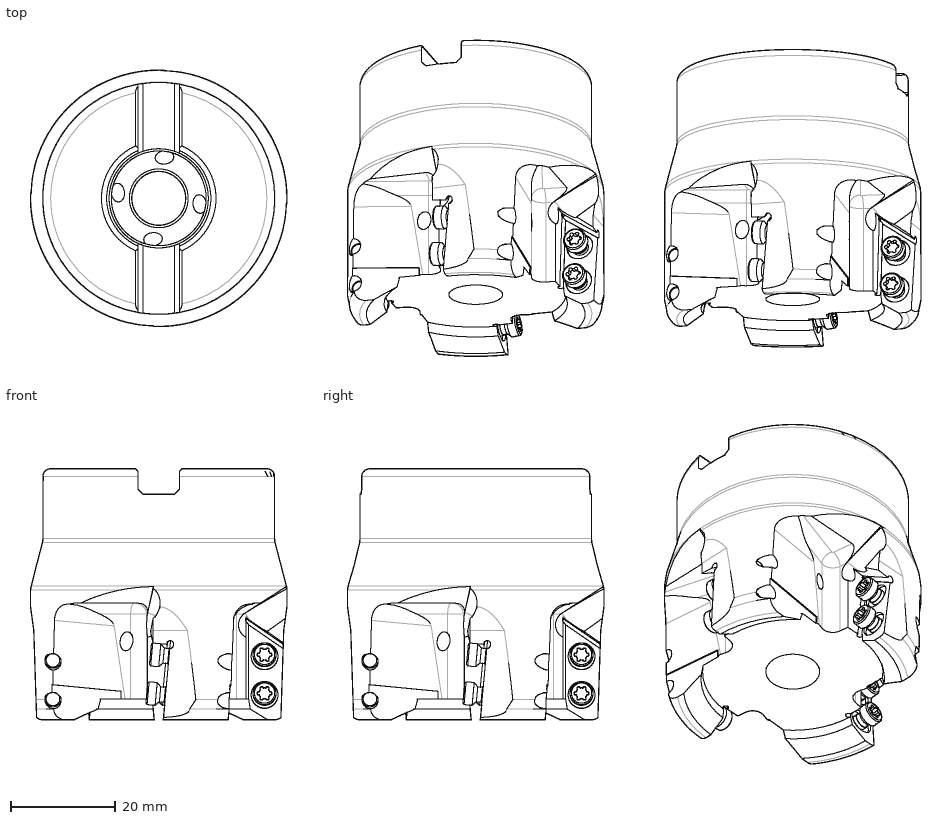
import cadquery as cq
import math

height = 48.23
hub_radius = 22.25
hub_fillet = 1.5
hub_bottom_z = 34.4
body_radius = 24.625
shoulder_z = 25.3
shoulder_blend = 3.0
rim_chamfer_z = 3.9
rim_radius = 24.25
rim_z = 2.1
foot_radius = 22.3
rim_bulge_radius = 23.75
rim_bulge_z = 0.75

core_bottom_z = 4.0
hollow_foot_radius = 21.0
hollow_mid_radius = 17.6
hollow_mid_z = 2.1
hollow_top_radius = 17.3

bore_radius = 9.525
bore_mouth_radius = 10.0
bore_mouth_depth = 3.5
bore_mouth_chamfer = 1.0
bore_step_depth = 11.0
bore_step_radius = 9.1
bore_floor_z = 29.6
screw_bore_radius = 5.15
screw_bore_chamfer = 0.5
key_width = 7.94
key_depth = 4.9
key_top_chamfer = 0.5
key_floor_chamfer = 0.95

tooth_count = 4
tooth_pitch = 360 / tooth_count
reach = 40.0

back_y = -13.15
back_lean = 2.3
back_yaw = 2.0
back_inner_x = -7.2
back_left_x = -19.0
floor_center = (-4.7, -15.2)
floor_radius = 2.35
strip_angle = 17.0
gullet_wall_angle = 7.8
strip_run = 12.0
wall_run = 12.0
roof_angle = 32.6
roof_tilt = 5.3
roof_bend_y = -19.5
roof_z = 22.4
roof_fillet = 3.5
floor_fillet = 2.1
ledge_depth = 0.2
ledge_z = 5.5
ledge_tilt = 5.5

groove_radius = 2.7
groove_x = -2.45
groove_inner_y = -18.0

rake = 5.3
seat_x = 0.85
seat_inner_y = -16.7
seat_depth = 6.0
seat_top_inner_z = 19.5
seat_top_angle = 34.6
side_relief_radius = 0.55
top_relief_radius = 0.65

land_y = -23.45
land_front_x = -2.0
land_back_x = 8.5
land_lean = 1.85
land_height = 17.2
runout_lean = 7.8

coolant_radius = 1.27
coolant_start = cq.Vector(-7.85, 1.1, bore_floor_z)
coolant_exit = cq.Vector(-6.2, -13.1, 15.2)
coolant_overrun = 2.0

screw_radial_y = -20.3
screw_heights = (12.3, 4.85)
head_radius = 2.2
head_chamfer = 0.25
head_front = 3.6
head_length = 1.8
neck_radius = 1.45
neck_length = 0.9
shank_radius = 1.55
tip_chamfer = 0.25
screw_length = 12.2
counterbore_radius = 2.57
counterbore_depth = 0.6
socket_depth = 1.2
socket_core_radius = 1.05
lobe_radius = 0.32
lobe_circle_radius = 1.1
lobe_count = 6


def turned_body():
    """Hub, flared shoulder and cutting end with its hollow underside."""
    profile = (
        cq.Workplane("XZ")
        .moveTo(0, core_bottom_z)
        .lineTo(hollow_top_radius, core_bottom_z)
        .lineTo(hollow_mid_radius, hollow_mid_z)
        .lineTo(hollow_foot_radius, 0)
        .lineTo(foot_radius, 0)
        .threePointArc((rim_bulge_radius, rim_bulge_z), (rim_radius, rim_z))
        .lineTo(body_radius, rim_chamfer_z)
        .lineTo(body_radius, shoulder_z)
        .lineTo(hub_radius, hub_bottom_z)
        .lineTo(hub_radius, height)
        .lineTo(0, height)
        .close()
    )
    body = profile.revolve(360, (0, 0), (0, 1))
    body = body.edges(cq.NearestToPointSelector((0, hub_radius, height))).fillet(hub_fillet)
    for radius, z in ((body_radius, shoulder_z), (hub_radius, hub_bottom_z)):
        edge = cq.NearestToPointSelector((0, radius, z))
        body = body.edges(edge).fillet(shoulder_blend)
    return body


def arbor_bore():
    """Stepped bore with chamfered mouth and the smaller screw bore below."""
    mouth_z = height - bore_mouth_depth
    step_z = height - bore_step_depth
    step = bore_radius - bore_step_radius
    mouth_step = bore_radius - bore_mouth_radius
    profile = (
        cq.Workplane("XZ")
        .moveTo(0, 0)
        .lineTo(screw_bore_radius, 0)
        .lineTo(screw_bore_radius, bore_floor_z - screw_bore_chamfer)
        .lineTo(screw_bore_radius + screw_bore_chamfer, bore_floor_z)
        .lineTo(bore_step_radius, bore_floor_z)
        .lineTo(bore_step_radius, step_z - step)
        .lineTo(bore_radius, step_z)
        .lineTo(bore_radius, mouth_z + mouth_step)
        .lineTo(bore_mouth_radius, mouth_z)
        .lineTo(bore_mouth_radius, height - bore_mouth_chamfer)
        .lineTo(bore_mouth_radius + bore_mouth_chamfer, height)
        .lineTo(0, height)
        .close()
    )
    return profile.revolve(360, (0, 0), (0, 1))


def keyway():
    """Drive slot across the hub along Y, chamfered at mouth and floor."""
    half = key_width / 2
    floor_z = height - key_depth
    right_side = [
        (half - key_floor_chamfer, floor_z),
        (half, floor_z + key_floor_chamfer),
        (half, height - key_top_chamfer),
        (half + key_top_chamfer, height),
    ]
    left_side = [(-x, z) for x, z in reversed(right_side)]
    return cq.Workplane("XZ").polyline(right_side + left_side).close().extrude(reach, both=True)


def below_roof():
    """Space under the gullet roof: level inside, then rising outwards towards -Y."""
    rise = reach * math.tan(math.radians(roof_angle))
    outline = [
        (0, -reach),
        (0, roof_z),
        (roof_bend_y, roof_z),
        (roof_bend_y - reach, roof_z + rise),
        (roof_bend_y - reach, -reach),
    ]
    return cq.Workplane("YZ").polyline(outline).close().extrude(2 * reach, both=True)


def place_on_back(shape):
    """Move a shape from back coordinates (back in the plane Y = 0) to its leaning place."""
    leaning = shape.rotate((0, 0, 0), (1, 0, 0), back_lean)
    return leaning.rotate((0, 0, 0), (0, 0, 1), back_yaw).translate((back_inner_x, back_y, 0))


def gullet_back():
    """Flat leaning back of the gullet, rounded into the roof."""
    slab = (
        cq.Workplane("XY")
        .box(reach, reach, 3 * reach, centered=(False, False, True))
        .translate((-reach - back_inner_x + floor_center[0], -reach, 0))
    )
    slab = place_on_back(slab)
    roof = below_roof().rotate((back_left_x, 0, roof_z), (back_left_x, 1, roof_z), roof_tilt)
    space = slab.intersect(roof)
    inner_roof_edge = cq.NearestToPointSelector((floor_center[0] - reach / 2, back_y, roof_z))
    return space.edges(inner_roof_edge).fillet(roof_fillet)


def gullet_ledge():
    """Shallow step across the lower part of the gullet back."""
    step = (
        cq.Workplane("XY")
        .box(reach, reach, reach, centered=(True, False, False))
        .translate((0, -reach, -reach))
        .rotate((0, 0, 0), (0, 1, 0), ledge_tilt)
        .translate((0, ledge_depth, ledge_z))
    )
    step = place_on_back(step)
    left_of_floor = cq.Workplane("XY").box(reach, 2 * reach, 2 * reach)
    return step.intersect(left_of_floor.translate((back_inner_x - reach / 2, 0, 0)))


def gullet_floor():
    """Angled strip and concave floor leading tangentially to the front wall of the tooth."""
    center = cq.Vector(*floor_center)
    strip = math.radians(strip_angle)
    wall = math.radians(gullet_wall_angle)
    strip_normal = cq.Vector(-math.sin(strip), math.cos(strip))
    wall_normal = cq.Vector(math.cos(wall), math.sin(wall))
    arc_start = center + strip_normal * floor_radius
    arc_mid = center + (strip_normal + wall_normal).normalized() * floor_radius
    arc_end = center + wall_normal * floor_radius
    strip_end = arc_start - cq.Vector(math.cos(strip), math.sin(strip)) * strip_run
    wall_end = arc_end + cq.Vector(math.sin(wall), -math.cos(wall)) * wall_run
    plan = (
        cq.Workplane("XY")
        .moveTo(strip_end.x, strip_end.y)
        .lineTo(arc_start.x, arc_start.y)
        .threePointArc((arc_mid.x, arc_mid.y), (arc_end.x, arc_end.y))
        .lineTo(wall_end.x, wall_end.y)
        .lineTo(strip_end.x, wall_end.y)
        .close()
    )
    space = plan.extrude(reach).intersect(below_roof())
    strip_middle = (arc_start + strip_end) * 0.5
    strip_top = cq.NearestToPointSelector((strip_middle.x, strip_middle.y, roof_z))
    return space.edges(strip_top).fillet(floor_fillet)


def runout_groove():
    """Round groove that ends the gullet roof beside the tooth."""
    angle = math.radians(roof_angle)
    outward = cq.Vector(0, -math.cos(angle), math.sin(angle))
    roof_at_start = roof_z - (groove_inner_y - roof_bend_y) * math.tan(angle)
    start_z = roof_at_start - groove_radius / math.cos(angle)
    start = cq.Vector(groove_x, groove_inner_y, start_z)
    groove = cq.Solid.makeCylinder(groove_radius, reach, start, outward)
    round_end = cq.Workplane("XY").sphere(groove_radius).translate(start)
    return cq.Workplane(groove).union(round_end)


def lean_to_rake(shape):
    """Move a shape from seat coordinates (seat in the plane X = 0) to its leaning place."""
    return shape.rotate((0, 0, 0), (0, 1, 0), rake).translate((seat_x, 0, 0))


def insert_seat():
    """Insert pocket with a sloping upper wall and round corner reliefs."""
    angle = math.radians(seat_top_angle)
    drop = (seat_inner_y + reach) * math.tan(angle)
    outline = [
        (seat_inner_y, -reach),
        (seat_inner_y, seat_top_inner_z),
        (-reach, seat_top_inner_z - drop),
        (-reach, -reach),
    ]
    pocket = cq.Workplane("YZ").polyline(outline).close().extrude(-seat_depth)
    corner = cq.Vector(0, seat_inner_y, seat_top_inner_z)
    along_side = cq.Vector(0, 0, -1)
    along_top = cq.Vector(0, -math.cos(angle), -math.sin(angle))
    for direction, relief_radius in ((along_side, side_relief_radius), (along_top, top_relief_radius)):
        relief = cq.Solid.makeCylinder(relief_radius, reach, corner, direction)
        pocket = pocket.union(cq.Workplane(relief))
    return lean_to_rake(pocket)


def clearance_land():
    """Flat land behind the cutting edge, running out through a steeper flat."""
    lean = math.tan(math.radians(land_lean))
    runout = math.tan(math.radians(runout_lean))
    top_y = land_y - land_height * lean
    outline = [
        (land_y, 0),
        (top_y, land_height),
        (top_y - runout * reach, land_height + reach),
        (-2 * reach, land_height + reach),
        (-2 * reach, 0),
    ]
    start = cq.Workplane("YZ").workplane(offset=land_front_x)
    return start.polyline(outline).close().extrude(land_back_x - land_front_x)


def coolant_hole():
    """Slanting hole that feeds one gullet from the floor of the arbor bore."""
    direction = coolant_exit - coolant_start
    unit = direction.normalized()
    start = coolant_start - unit * coolant_overrun
    length = direction.Length + 2 * coolant_overrun
    return cq.Workplane(cq.Solid.makeCylinder(coolant_radius, length, start, unit))


def place_on_seat(shape, height_on_seat):
    """Turn a shape from the +Y axis to +X and set it at a screw position."""
    return shape.rotate((0, 0, 0), (0, 0, 1), -90).translate((0, screw_radial_y, height_on_seat))


def screw_hole(height_on_seat):
    """Counterbored through hole square to the seat, from the seat to the tooth's back."""
    hole = (
        cq.Workplane("XY")
        .lineTo(counterbore_radius, 0)
        .lineTo(counterbore_radius, counterbore_depth)
        .lineTo(shank_radius, counterbore_depth)
        .lineTo(shank_radius, reach / 2)
        .lineTo(0, reach / 2)
        .close()
        .revolve(360, (0, 0), (0, 1))
    )
    return lean_to_rake(place_on_seat(hole, height_on_seat))


def insert_screw(height_on_seat):
    """Torx screw along +Y whose head stands proud of the seat."""
    under_head = -head_front + head_length
    taper = head_radius - neck_radius
    tip = screw_length - head_front
    shank_start = neck_length + under_head + taper
    screw = (
        cq.Workplane("XY")
        .moveTo(0, -head_front)
        .lineTo(head_radius - head_chamfer, -head_front)
        .lineTo(head_radius, -head_front + head_chamfer)
        .lineTo(head_radius, under_head)
        .lineTo(neck_radius, under_head + taper)
        .lineTo(neck_radius, shank_start)
        .lineTo(shank_radius, shank_start)
        .lineTo(shank_radius, tip - tip_chamfer)
        .lineTo(shank_radius - tip_chamfer, tip)
        .lineTo(0, tip)
        .close()
        .revolve(360, (0, 0), (0, 1))
    )
    socket_plane = cq.Workplane("XZ").workplane(offset=head_front)
    socket = socket_plane.circle(socket_core_radius).extrude(-socket_depth)
    lobes = socket_plane.polarArray(lobe_circle_radius, 0, 360, lobe_count).circle(lobe_radius)
    screw = screw.cut(socket).cut(lobes.extrude(-socket_depth))
    return lean_to_rake(place_on_seat(screw, height_on_seat))


def turn_to_tooth(shape, index):
    """Turn a shape from the -Y tooth to another tooth."""
    return shape.rotate((0, 0, 0), (0, 0, 1), index * tooth_pitch)


cutter_body = turned_body().cut(arbor_bore()).cut(keyway())
tooth_cuts = [
    gullet_back(),
    gullet_ledge(),
    gullet_floor(),
    runout_groove(),
    insert_seat(),
    clearance_land(),
    coolant_hole(),
]
tooth_cuts += [screw_hole(z) for z in screw_heights]

screws = []
for tooth in range(tooth_count):
    for cut in tooth_cuts:
        cutter_body = cutter_body.cut(turn_to_tooth(cut, tooth))
    for screw_height in screw_heights:
        screws.append(turn_to_tooth(insert_screw(screw_height), tooth).val())

result = cq.Compound.makeCompound([cutter_body.val(), *screws])